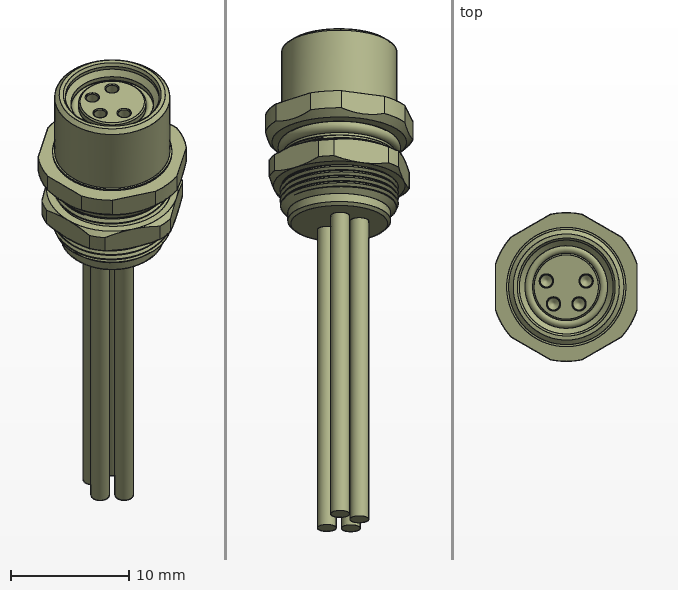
import cadquery as cq
import math

TOTAL_LENGTH = 43.2

SHELL_RADIUS = 4.9
RIM_RADIUS = 4.5
RIM_BEVEL_DEPTH = 0.3
SHOULDER_RADIUS = 5.05
SHOULDER_HEIGHT = 0.15

FLANGE_TOP = -6.4
FLANGE_BOTTOM = -8.55
FLANGE_ACROSS_FLATS = 12.0
FLANGE_CORNER_RADIUS = 6.3
FLANGE_BEVEL_WIDTH = 0.6
FLANGE_BEVEL_HEIGHT = 0.6
NUT_TOP = -10.45
NUT_BOTTOM = -12.53
NUT_ACROSS_FLATS = 11.15
NUT_CORNER_RADIUS = 6.1
NUT_BEVEL_WIDTH = 0.5
NUT_BEVEL_HEIGHT = 0.3

SEAL_TUBE_RADIUS = 0.5
SEAL_RADIUS = 5.2
NECK_RADIUS = 4.75

COLLAR_RADIUS = 4.35
COLLAR_BOTTOM = -16.0
COLLAR_BEVEL = 0.25

THREAD_TOP = -9.8
THREAD_BOTTOM = -15.0
THREAD_LENGTH = THREAD_TOP - THREAD_BOTTOM
THREAD_TURNS = 10.4
THREAD_PITCH = THREAD_LENGTH / THREAD_TURNS
THREAD_RADIUS = 5.0
THREAD_ROOT_RADIUS = 4.8
RIDGE_BASE = 0.48
RIDGE_EMBED = 0.02
TRIM_CLEARANCE = 0.05
TRIM_RADIUS = THREAD_RADIUS + TRIM_CLEARANCE
THREAD_TOP_BEVEL = TRIM_RADIUS - NECK_RADIUS
THREAD_BOTTOM_BEVEL = TRIM_RADIUS - COLLAR_RADIUS

MOUTH_RADIUS = 4.15
BORE_RADIUS = 3.97
MOUTH_BEVEL_DEPTH = 0.25
BORE_DEPTH = 0.55
CAVITY_RADIUS = 3.5
TAPER_END_DEPTH = 1.0
CAVITY_DEPTH = 1.9

CARRIER_RADIUS = 2.85
CARRIER_TOP = -0.8
CARRIER_BEVEL = 0.15
INNER_SEAL_SQUEEZE = 0.02
CONTACT_HOLE_RADIUS = 0.5
CONTACT_HOLE_DEPTH = 1.73
CONTACT_HOLE_BEVEL = 0.1
DRILL_POINT_ANGLE = 118.0

WIRE_DIAMETER = 1.6
POSITIONS = [(side * x, y) for x, y in ((1.7, 0.5), (1.1, -1.43)) for side in (-1, 1)]


def turned(points):
    """Solid of revolution about Z from (radius, z) points."""
    return cq.Workplane("XZ").polyline(points).close().revolve(360, (0, 0), (0, 1))


def ring(tube_radius, centre_radius, z):
    """Round seal ring."""
    profile = cq.Workplane("XZ").center(centre_radius, z).circle(tube_radius)
    return profile.revolve(360, (-centre_radius, 0), (-centre_radius, 1))


def hexagon(across_flats, top, bottom):
    """Hexagonal prism with flats facing +X and -X."""
    corner_diameter = across_flats / math.cos(math.pi / 6)
    prism = cq.Workplane("XY").workplane(offset=bottom).polygon(6, corner_diameter)
    return prism.extrude(top - bottom).rotate((0, 0, 0), (0, 0, 1), 30)


def make_flange():
    """Hexagon with turned corners and a bevel on its lower face."""
    turned_limit = turned([
        (0, FLANGE_TOP),
        (FLANGE_CORNER_RADIUS, FLANGE_TOP),
        (FLANGE_CORNER_RADIUS, FLANGE_BOTTOM + FLANGE_BEVEL_HEIGHT),
        (FLANGE_CORNER_RADIUS - FLANGE_BEVEL_WIDTH, FLANGE_BOTTOM),
        (0, FLANGE_BOTTOM),
    ])
    return hexagon(FLANGE_ACROSS_FLATS, FLANGE_TOP, FLANGE_BOTTOM).intersect(turned_limit)


def make_nut():
    """Hexagon with turned corners, bevelled on both faces."""
    bevel_radius = NUT_CORNER_RADIUS - NUT_BEVEL_WIDTH
    turned_limit = turned([
        (0, NUT_TOP),
        (bevel_radius, NUT_TOP),
        (NUT_CORNER_RADIUS, NUT_TOP - NUT_BEVEL_HEIGHT),
        (NUT_CORNER_RADIUS, NUT_BOTTOM + NUT_BEVEL_HEIGHT),
        (bevel_radius, NUT_BOTTOM),
        (0, NUT_BOTTOM),
    ])
    return hexagon(NUT_ACROSS_FLATS, NUT_TOP, NUT_BOTTOM).intersect(turned_limit)


def make_thread():
    """Core with a right-hand helical V ridge, trimmed to bevelled ends."""
    half_base = RIDGE_BASE / 2
    foot_radius = THREAD_ROOT_RADIUS - RIDGE_EMBED
    start = cq.Vector(0, 0, THREAD_BOTTOM)
    path = cq.Wire.makeHelix(THREAD_PITCH, THREAD_LENGTH, THREAD_ROOT_RADIUS, start)
    ridge = (
        cq.Workplane("XZ")
        .polyline([
            (THREAD_RADIUS, THREAD_BOTTOM),
            (foot_radius, THREAD_BOTTOM + half_base),
            (foot_radius, THREAD_BOTTOM - half_base),
        ])
        .close()
        .sweep(cq.Workplane(obj=path), isFrenet=True)
    )
    core_bottom = THREAD_BOTTOM - THREAD_PITCH
    core_length = THREAD_LENGTH + 2 * THREAD_PITCH
    core_plane = cq.Workplane("XY").workplane(offset=core_bottom)
    core = core_plane.circle(THREAD_ROOT_RADIUS).extrude(core_length)
    trim = turned([
        (0, THREAD_TOP),
        (NECK_RADIUS, THREAD_TOP),
        (TRIM_RADIUS, THREAD_TOP - THREAD_TOP_BEVEL),
        (TRIM_RADIUS, THREAD_BOTTOM + THREAD_BOTTOM_BEVEL),
        (COLLAR_RADIUS, THREAD_BOTTOM),
        (0, THREAD_BOTTOM),
    ])
    return core.union(ridge).intersect(trim)


def make_shell():
    """Socket barrel, shoulder, neck and collar as one turned core."""
    shoulder_top = FLANGE_TOP + SHOULDER_HEIGHT
    return turned([
        (0, 0),
        (RIM_RADIUS, 0),
        (SHELL_RADIUS, -RIM_BEVEL_DEPTH),
        (SHELL_RADIUS, shoulder_top),
        (SHOULDER_RADIUS, shoulder_top),
        (SHOULDER_RADIUS, FLANGE_TOP),
        (NECK_RADIUS, FLANGE_TOP),
        (NECK_RADIUS, THREAD_TOP),
        (COLLAR_RADIUS, THREAD_TOP),
        (COLLAR_RADIUS, COLLAR_BOTTOM + COLLAR_BEVEL),
        (COLLAR_RADIUS - COLLAR_BEVEL, COLLAR_BOTTOM),
        (0, COLLAR_BOTTOM),
    ])


def make_cavity():
    """Bevelled mouth, short bore and taper down to the flat cavity floor."""
    return turned([
        (0, 0),
        (MOUTH_RADIUS, 0),
        (BORE_RADIUS, -MOUTH_BEVEL_DEPTH),
        (BORE_RADIUS, -BORE_DEPTH),
        (CAVITY_RADIUS, -TAPER_END_DEPTH),
        (CAVITY_RADIUS, -CAVITY_DEPTH),
        (0, -CAVITY_DEPTH),
    ])


def make_carrier():
    """Bevelled contact carrier standing on the cavity floor."""
    return turned([
        (0, CARRIER_TOP),
        (CARRIER_RADIUS - CARRIER_BEVEL, CARRIER_TOP),
        (CARRIER_RADIUS, CARRIER_TOP - CARRIER_BEVEL),
        (CARRIER_RADIUS, -CAVITY_DEPTH),
        (0, -CAVITY_DEPTH),
    ])


def make_contact_hole():
    """Blind hole with a bevelled mouth and a drill point, on the Z axis."""
    wall_end = CARRIER_TOP - CONTACT_HOLE_DEPTH
    point_depth = CONTACT_HOLE_RADIUS / math.tan(math.radians(DRILL_POINT_ANGLE / 2))
    return turned([
        (0, CARRIER_TOP),
        (CONTACT_HOLE_RADIUS + CONTACT_HOLE_BEVEL, CARRIER_TOP),
        (CONTACT_HOLE_RADIUS, CARRIER_TOP - CONTACT_HOLE_BEVEL),
        (CONTACT_HOLE_RADIUS, wall_end),
        (0, wall_end - point_depth),
    ])


def make_wires():
    """Straight wires leaving the underside of the collar."""
    plane = cq.Workplane("XY").workplane(offset=-TOTAL_LENGTH)
    return plane.pushPoints(POSITIONS).circle(WIRE_DIAMETER / 2).extrude(TOTAL_LENGTH + COLLAR_BOTTOM)


def make_outer_seal():
    """Seal ring touching the underside of the flange."""
    return ring(SEAL_TUBE_RADIUS, SEAL_RADIUS - SEAL_TUBE_RADIUS, FLANGE_BOTTOM - SEAL_TUBE_RADIUS)


def make_inner_seal():
    """Seal ring on the cavity floor, biting slightly into both walls of the gap."""
    tube_radius = (CAVITY_RADIUS - CARRIER_RADIUS) / 2 + INNER_SEAL_SQUEEZE
    centre_radius = (CAVITY_RADIUS + CARRIER_RADIUS) / 2
    return ring(tube_radius, centre_radius, tube_radius - CAVITY_DEPTH)


result = (
    make_shell()
    .union(make_thread())
    .union(make_flange())
    .union(make_nut())
    .union(make_outer_seal())
    .cut(make_cavity())
    .union(make_carrier())
    .union(make_inner_seal())
    .union(make_wires())
)
for x, y in POSITIONS:
    result = result.cut(make_contact_hole().translate((x, y, 0)))